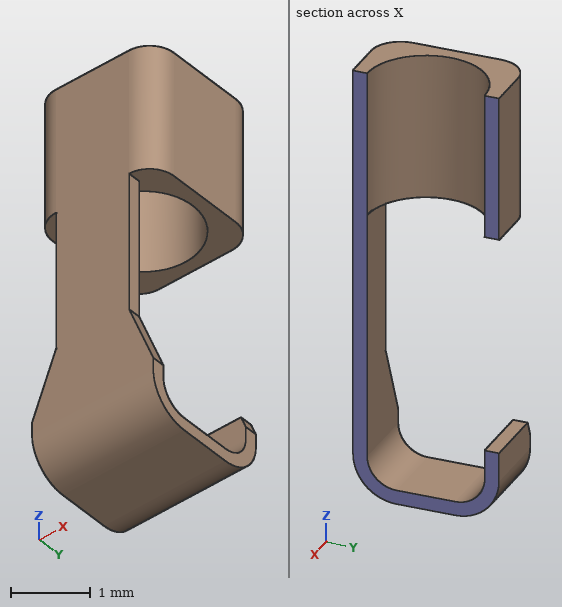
import cadquery as cq

sleeve_size = 2.0
sleeve_height = 2.0
sleeve_corner_radius = 0.4
bore_diameter = 1.6

total_height = 6.0
strip_thickness = 0.2
strip_width = sleeve_size - 2 * sleeve_corner_radius
hook_width = sleeve_size
bend_outer_radius = 0.6
hook_tip_height = 1.0

flare_start_height = 0.8
flare_end_height = 1.8

sleeve_bottom = total_height - sleeve_height
half_size = sleeve_size / 2
bend_inner_radius = bend_outer_radius - strip_thickness


def make_sleeve():
    """Rounded square block with a round through bore."""
    return (
        cq.Workplane("XY")
        .workplane(offset=sleeve_bottom)
        .rect(sleeve_size, sleeve_size)
        .extrude(sleeve_height)
        .edges("|Z")
        .fillet(sleeve_corner_radius)
        .faces(">Z")
        .workplane()
        .hole(bore_diameter)
    )


def make_bent_strip():
    """J-shaped strip of full hook width, with its long leg on the -Y side."""
    channel = (
        cq.Workplane("XY")
        .box(hook_width, sleeve_size, sleeve_bottom, centered=(True, True, False))
        .edges("|X and <Z")
        .fillet(bend_outer_radius)
    )
    cavity = (
        cq.Workplane("XY")
        .workplane(offset=strip_thickness)
        .rect(hook_width, sleeve_size - 2 * strip_thickness)
        .extrude(sleeve_bottom)
        .edges("|X and <Z")
        .fillet(bend_inner_radius)
    )
    above_tip = (
        cq.Workplane("XY")
        .workplane(offset=hook_tip_height)
        .center(0, half_size)
        .rect(hook_width, sleeve_size)
        .extrude(sleeve_bottom)
    )
    return channel.cut(cavity).cut(above_tip)


def make_flare_envelope():
    """Block bounding the strip sideways: wide at the hook, tapering to the narrow leg."""
    half_hook = hook_width / 2
    half_strip = strip_width / 2
    return (
        cq.Workplane("XZ", origin=(0, half_size, 0))
        .moveTo(-half_hook, 0)
        .lineTo(half_hook, 0)
        .lineTo(half_hook, flare_start_height)
        .lineTo(half_strip, flare_end_height)
        .lineTo(half_strip, sleeve_bottom)
        .lineTo(-half_strip, sleeve_bottom)
        .lineTo(-half_strip, flare_end_height)
        .lineTo(-half_hook, flare_start_height)
        .close()
        .extrude(sleeve_size)
    )


result = make_sleeve().union(make_bent_strip().intersect(make_flare_envelope()))